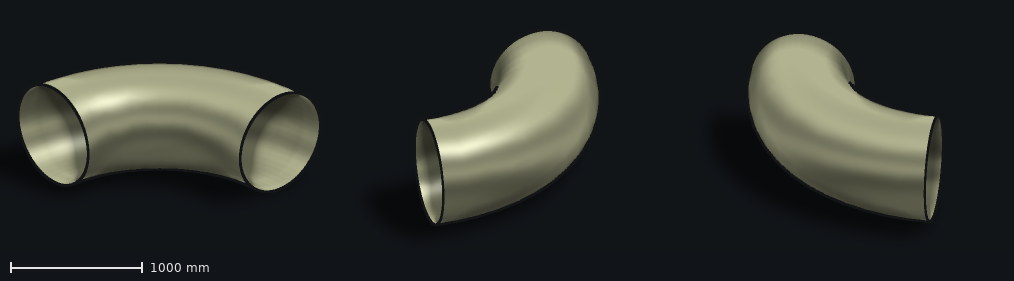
import cadquery as cq

outer_diameter = 813.0
bend_radius = 1.5 * outer_diameter
wall_thickness = 6.0
bend_angle = 90.0

outer_radius = outer_diameter / 2
inner_radius = outer_radius - wall_thickness

end_section = cq.Workplane("XZ").circle(outer_radius).circle(inner_radius)
result = end_section.revolve(bend_angle, (bend_radius, 0, 0), (bend_radius, -1, 0))